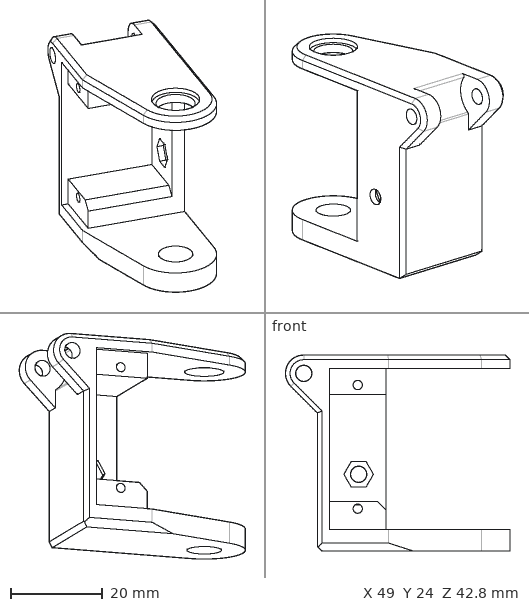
import cadquery as cq
import math

length = 48.95
width = 24.0
height = 42.75
edge_chamfer = 1.05

ear_radius = 4.0
ear_width = 4.95
ear_end_x = 9.05
pin_hole_diameter = 3.5
hinge_x = ear_radius
hinge_z = height - ear_radius
groove_radius = 5.5
groove_lip_radius = 0.5

wall_x = 6.95
wall_inner_x = 9.6
back_end_x = 21.95
back_thickness = 3.0
top_arm_thickness = 3.0
bottom_arm_thickness = 4.75
bottom_front_chamfer = 1.75
taper_start_x = 22.5
arm_radius = 8.95
top_arm_z = height - top_arm_thickness
back_inner_y = width - back_thickness
arm_center_x = length - arm_radius
arm_center_y = width - arm_radius

bore_diameter = 7.5
top_bore_diameter = 8.5
counterbore_diameter = 10.5
counterbore_depth = 1.05

block_front_y = 1.5
top_block_z = 34.2
bottom_block_z = 10.8
block_corner_chamfer = 1.85
screw_x = 15.75
screw_diameter = 2.0
screw_depth = 9.8
top_screw_z = 36.2
bottom_screw_z = 9.25
screw_step_z = 10.05
screw_step_depth = 1.0

nut_x = 15.95
nut_z = 16.75
nut_across_flats = 5.6
nut_depth = 1.45


def box(x0, x1, y0, y1, z0, z1):
    """Box given by its limits along each axis."""
    return cq.Workplane("XY").box(x1 - x0, y1 - y0, z1 - z0, centered=False).translate((x0, y0, z0))


def cylinder_y(x, z, diameter, y0, y1):
    """Cylinder parallel to Y between two Y positions."""
    return cq.Workplane("XZ", origin=(x, y0, z)).circle(diameter / 2).extrude(y0 - y1)


def cylinder_z(diameter, z0, z1):
    """Cylinder on the vertical axis of the arm bores."""
    return (
        cq.Workplane("XY", origin=(arm_center_x, arm_center_y, z0))
        .circle(diameter / 2)
        .extrude(z1 - z0)
    )


def arm(z0, thickness):
    """Flat arm with a rounded end and a front edge tangent to the rounding."""
    run = arm_center_x - taper_start_x
    distance = math.hypot(run, arm_center_y)
    tangent_angle = math.atan2(-arm_center_y, -run) + math.acos(arm_radius / distance)
    tangent_x = arm_center_x + arm_radius * math.cos(tangent_angle)
    tangent_y = arm_center_y + arm_radius * math.sin(tangent_angle)
    return (
        cq.Workplane("XY", origin=(0, 0, z0))
        .moveTo(wall_x, 0)
        .lineTo(taper_start_x, 0)
        .lineTo(tangent_x, tangent_y)
        .threePointArc((length, arm_center_y), (arm_center_x, width))
        .lineTo(wall_x, width)
        .close()
        .extrude(thickness)
    )


def ear(y0, outer_face):
    """Hinge ear with a 45 degree underside, chamfered around its outer face."""
    tangent_offset = ear_radius * math.sqrt(0.5)
    tangent_x = hinge_x - tangent_offset
    tangent_z = hinge_z - tangent_offset
    return (
        cq.Workplane("XZ", origin=(0, y0, 0))
        .moveTo(ear_end_x, height)
        .lineTo(hinge_x, height)
        .threePointArc((0, hinge_z), (tangent_x, tangent_z))
        .lineTo(ear_end_x, tangent_z - (ear_end_x - tangent_x))
        .close()
        .extrude(-ear_width)
        .faces(outer_face)
        .edges("not(>X)")
        .chamfer(edge_chamfer)
    )


top_arm = arm(top_arm_z, top_arm_thickness).faces(">Z").edges("not(<X)").chamfer(edge_chamfer)
bottom_arm = arm(0, bottom_arm_thickness)

left_wall = box(wall_x, wall_inner_x, 0, width, 0, height - edge_chamfer)
back_wall = box(wall_inner_x, back_end_x, back_inner_y, width, 0, top_arm_z)
top_block = box(wall_inner_x, back_end_x, block_front_y, back_inner_y, top_block_z, top_arm_z)
bottom_block = (
    box(wall_inner_x, back_end_x, block_front_y, back_inner_y, bottom_arm_thickness, bottom_block_z)
    .edges(">X and >Z")
    .chamfer(block_corner_chamfer)
)
body = top_arm.union(bottom_arm).union(left_wall).union(back_wall)
body = body.union(top_block).union(bottom_block)

front_cutter = (
    cq.Workplane("YZ")
    .polyline([(0, 0), (bottom_front_chamfer, 0), (0, bottom_front_chamfer)])
    .close()
    .extrude(length)
)
body = body.cut(front_cutter)

bottom_edge_cutter = (
    cq.Workplane("XZ")
    .polyline([(wall_x, 0), (wall_x + edge_chamfer, 0), (wall_x, edge_chamfer)])
    .close()
    .extrude(-width)
)
body = body.cut(bottom_edge_cutter)
for corner_y, inward in ((0, 1), (width, -1)):
    corner_cutter = (
        cq.Workplane("XY")
        .polyline([
            (wall_x, corner_y),
            (wall_x + edge_chamfer, corner_y),
            (wall_x, corner_y + inward * edge_chamfer),
        ])
        .close()
        .extrude(height)
    )
    body = body.cut(corner_cutter)

groove = cylinder_y(hinge_x, hinge_z, 2 * groove_radius, ear_width, width - ear_width)
groove_rise = height - hinge_z
groove_run = wall_x - hinge_x
top_lip_x = hinge_x + math.sqrt(groove_radius**2 - groove_rise**2)
bottom_lip_z = hinge_z - math.sqrt(groove_radius**2 - groove_run**2)
strip = box(wall_x, wall_inner_x, ear_width, width - ear_width, bottom_arm_thickness, height)
lip_points = ((top_lip_x, width / 2, height), (wall_x, width / 2, bottom_lip_z))
rounded_strip = strip.cut(groove)
for lip_point in lip_points:
    rounded_strip = rounded_strip.edges(cq.NearestToPointSelector(lip_point)).fillet(groove_lip_radius)
body = body.cut(strip.cut(rounded_strip))

body = body.union(ear(0, "<Y")).union(ear(width - ear_width, ">Y"))
for ear_y in (0, width - ear_width):
    body = body.cut(cylinder_y(hinge_x, hinge_z, pin_hole_diameter, ear_y, ear_y + ear_width))

body = body.cut(cylinder_z(bore_diameter, 0, bottom_arm_thickness))
body = body.cut(cylinder_z(top_bore_diameter, top_arm_z, height))
body = body.cut(cylinder_z(counterbore_diameter, height - counterbore_depth, height))

screw_end_y = block_front_y + screw_depth
for screw_z in (top_screw_z, bottom_screw_z):
    body = body.cut(cylinder_y(screw_x, screw_z, screw_diameter, block_front_y, screw_end_y))
screw_step = cylinder_y(
    screw_x, bottom_screw_z, screw_diameter, screw_end_y, screw_end_y + screw_step_depth
).intersect(box(0, length, 0, width, screw_step_z, height))
body = body.cut(screw_step)

nut_pocket = (
    cq.Workplane("XZ", origin=(nut_x, back_inner_y, nut_z))
    .polygon(6, nut_across_flats / math.cos(math.pi / 6))
    .extrude(-nut_depth)
)
nut_hole = cylinder_y(nut_x, nut_z, pin_hole_diameter, back_inner_y, width)
result = body.cut(nut_pocket).cut(nut_hole)